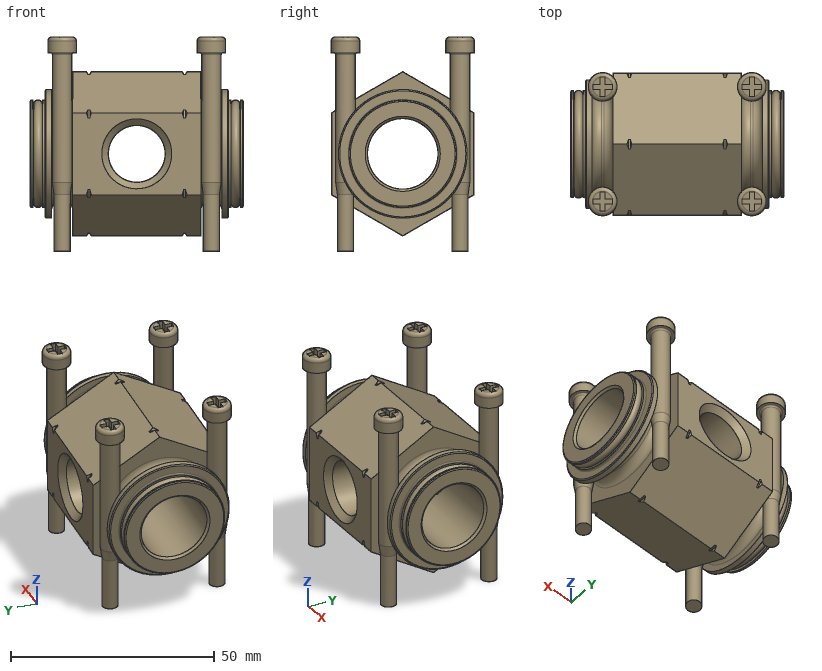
import cadquery as cq
import math

HEX_ACROSS_FLATS = 35.0
HEX_LENGTH = 31.5

NOTCH_X = 11.8
NOTCH_DEPTH = 0.65
NOTCH_WIDTH = 1.2
NOTCH_FLOOR_WIDTH = 0.4

OVERALL_LENGTH = 52.5
FLANGE_RADIUS = 15.85
FLANGE_INNER_X = 20.95
FLANGE_OUTER_X = 22.55
SPIGOT_RADIUS = 13.2
EDGE_CHAMFER_LENGTH = 0.2
EDGE_CHAMFER_DROP = 0.3
SPIGOT_ROOT_FILLET = 0.2

NECK_FLAT_WIDTH = 0.65

RING_X = 24.3
RING_SECTION_RADIUS = 1.1
RING_OUTER_RADIUS = 13.25
GROOVE_WIDTH = 2.4

MAIN_BORE_RADIUS = 8.65
MAIN_BORE_CHAMFER = 0.6
CROSS_BORE_RADIUS = 6.95
CROSS_BORE_CHAMFER = 1.65

SCREW_Y = 14.1
SCREW_TOP_Z = 28.8
SCREW_LENGTH = 52.8
HEAD_RADIUS = 3.55
HEAD_HEIGHT = 3.9
HEAD_ROUNDING = 1.05
SHANK_RADIUS = 2.45
UNDERHEAD_FILLET = 0.4
TAPER_TOP_Z = -7.0
TAPER_BOTTOM_Z = -10.0
TIP_RADIUS = 2.0
RECESS_SPAN = 4.75
RECESS_WIDTH = 1.25
RECESS_DEPTH = 2.1

HEX_ACROSS_CORNERS = HEX_ACROSS_FLATS / math.cos(math.pi / 6)
HEX_CORNER_RADIUS = HEX_ACROSS_CORNERS / 2
HEX_END_X = HEX_LENGTH / 2
END_X = OVERALL_LENGTH / 2
SCREW_X = (HEX_END_X + FLANGE_INNER_X) / 2
NECK_RADIUS = SCREW_Y - SHANK_RADIUS
NECK_ROUND = (FLANGE_INNER_X - HEX_END_X - NECK_FLAT_WIDTH) / 2
NECK_RIM_RADIUS = NECK_RADIUS + NECK_ROUND
RING_CENTRE_RADIUS = RING_OUTER_RADIUS - RING_SECTION_RADIUS
GROOVE_FLOOR_RADIUS = RING_CENTRE_RADIUS - RING_SECTION_RADIUS


def fillet_sag(radius):
    """Distance from each straight side of a right corner to the middle of its rounding arc."""
    return radius * (1 - math.sqrt(0.5))


def about_x(profile):
    """Revolve a closed XY profile, with Y as its radius, around the X axis."""
    return profile.revolve(360, (0, 0, 0), (1, 0, 0))


def mirrored_pair(shape):
    """Join a shape to its mirror image across the YZ plane."""
    return shape.union(shape.mirror("YZ"))


def hexagon_block():
    return (
        cq.Workplane("YZ")
        .polygon(6, HEX_ACROSS_CORNERS)
        .extrude(HEX_END_X, both=True)
        .rotate((0, 0, 0), (1, 0, 0), 90)
    )


def notch_ring():
    """Annular cutter with sloping sides, whose floor lies just inside the hexagon corners."""
    floor_radius = HEX_CORNER_RADIUS - NOTCH_DEPTH
    return about_x(
        cq.Workplane("XY")
        .moveTo(NOTCH_X - NOTCH_FLOOR_WIDTH / 2, floor_radius)
        .lineTo(NOTCH_X + NOTCH_FLOOR_WIDTH / 2, floor_radius)
        .lineTo(NOTCH_X + NOTCH_WIDTH / 2, HEX_CORNER_RADIUS)
        .lineTo(NOTCH_X - NOTCH_WIDTH / 2, HEX_CORNER_RADIUS)
        .close()
    )


def flanged_end():
    """The +X half: solid core, hollowed neck, flange and grooved spigot as one turned profile."""
    neck_sag = fillet_sag(NECK_ROUND)
    flat_start_x = HEX_END_X + NECK_ROUND
    flat_end_x = FLANGE_INNER_X - NECK_ROUND
    root_sag = fillet_sag(SPIGOT_ROOT_FILLET)
    groove_start_x = RING_X - RING_SECTION_RADIUS
    groove_end_x = groove_start_x + GROOVE_WIDTH
    return about_x(
        cq.Workplane("XY")
        .moveTo(0, 0)
        .lineTo(0, NECK_RIM_RADIUS)
        .lineTo(HEX_END_X, NECK_RIM_RADIUS)
        .threePointArc(
            (HEX_END_X + neck_sag, NECK_RADIUS + neck_sag),
            (flat_start_x, NECK_RADIUS),
        )
        .lineTo(flat_end_x, NECK_RADIUS)
        .threePointArc(
            (FLANGE_INNER_X - neck_sag, NECK_RADIUS + neck_sag),
            (FLANGE_INNER_X, NECK_RIM_RADIUS),
        )
        .lineTo(FLANGE_INNER_X, FLANGE_RADIUS)
        .lineTo(FLANGE_OUTER_X - EDGE_CHAMFER_LENGTH, FLANGE_RADIUS)
        .lineTo(FLANGE_OUTER_X, FLANGE_RADIUS - EDGE_CHAMFER_DROP)
        .lineTo(FLANGE_OUTER_X, SPIGOT_RADIUS + SPIGOT_ROOT_FILLET)
        .threePointArc(
            (FLANGE_OUTER_X + root_sag, SPIGOT_RADIUS + root_sag),
            (FLANGE_OUTER_X + SPIGOT_ROOT_FILLET, SPIGOT_RADIUS),
        )
        .lineTo(groove_start_x, SPIGOT_RADIUS)
        .lineTo(groove_start_x, GROOVE_FLOOR_RADIUS)
        .lineTo(groove_end_x, GROOVE_FLOOR_RADIUS)
        .lineTo(groove_end_x, SPIGOT_RADIUS)
        .lineTo(END_X - EDGE_CHAMFER_LENGTH, SPIGOT_RADIUS)
        .lineTo(END_X, SPIGOT_RADIUS - EDGE_CHAMFER_DROP)
        .lineTo(END_X, 0)
        .close()
    )


def chamfered_bore(plane, radius, half_length, chamfer):
    """Cutter for a through bore, centred on the origin, with both mouths chamfered."""
    bore = cq.Workplane(plane).circle(radius).extrude(half_length, both=True)
    for side in (1, -1):
        mouth = (
            cq.Workplane(plane)
            .workplane(offset=side * half_length)
            .circle(radius + chamfer)
            .workplane(offset=-side * chamfer)
            .circle(radius)
            .loft()
        )
        bore = bore.union(mouth)
    return bore


def make_housing():
    main_bore = chamfered_bore("YZ", MAIN_BORE_RADIUS, END_X, MAIN_BORE_CHAMFER)
    cross_bore = chamfered_bore("XZ", CROSS_BORE_RADIUS, HEX_ACROSS_FLATS / 2, CROSS_BORE_CHAMFER)
    return (
        hexagon_block()
        .cut(mirrored_pair(notch_ring()))
        .union(mirrored_pair(flanged_end()))
        .cut(main_bore)
        .cut(cross_bore)
    )


def make_seal_ring(x):
    ring = cq.Solid.makeTorus(
        RING_CENTRE_RADIUS,
        RING_SECTION_RADIUS,
        cq.Vector(x, 0, 0),
        cq.Vector(1, 0, 0),
    )
    return cq.Workplane(ring)


def make_screw(x, y):
    """Cross-recess screw standing upright with its axis at (x, y)."""
    underside_z = SCREW_TOP_Z - HEAD_HEIGHT
    head_sag = fillet_sag(HEAD_ROUNDING)
    shank_sag = fillet_sag(UNDERHEAD_FILLET)
    screw = (
        cq.Workplane("XZ")
        .moveTo(0, SCREW_TOP_Z)
        .lineTo(HEAD_RADIUS - HEAD_ROUNDING, SCREW_TOP_Z)
        .threePointArc(
            (HEAD_RADIUS - head_sag, SCREW_TOP_Z - head_sag),
            (HEAD_RADIUS, SCREW_TOP_Z - HEAD_ROUNDING),
        )
        .lineTo(HEAD_RADIUS, underside_z)
        .lineTo(SHANK_RADIUS + UNDERHEAD_FILLET, underside_z)
        .threePointArc(
            (SHANK_RADIUS + shank_sag, underside_z - shank_sag),
            (SHANK_RADIUS, underside_z - UNDERHEAD_FILLET),
        )
        .lineTo(SHANK_RADIUS, TAPER_TOP_Z)
        .lineTo(TIP_RADIUS, TAPER_BOTTOM_Z)
        .lineTo(TIP_RADIUS, SCREW_TOP_Z - SCREW_LENGTH)
        .lineTo(0, SCREW_TOP_Z - SCREW_LENGTH)
        .close()
        .revolve(360, (0, 0, 0), (0, 1, 0))
    )
    recess = (
        cq.Workplane("XY", origin=(0, 0, SCREW_TOP_Z - RECESS_DEPTH))
        .rect(RECESS_SPAN, RECESS_WIDTH)
        .extrude(RECESS_DEPTH)
    )
    recess = recess.union(recess.rotate((0, 0, 0), (0, 0, 1), 90))
    return screw.cut(recess).translate((x, y, 0))


housing = make_housing()
seal_rings = [make_seal_ring(side * RING_X) for side in (-1, 1)]
screws = [
    make_screw(x_side * SCREW_X, y_side * SCREW_Y)
    for x_side in (-1, 1)
    for y_side in (-1, 1)
]

bodies = [housing, *seal_rings, *screws]
result = cq.Compound.makeCompound([body.solids().val() for body in bodies])